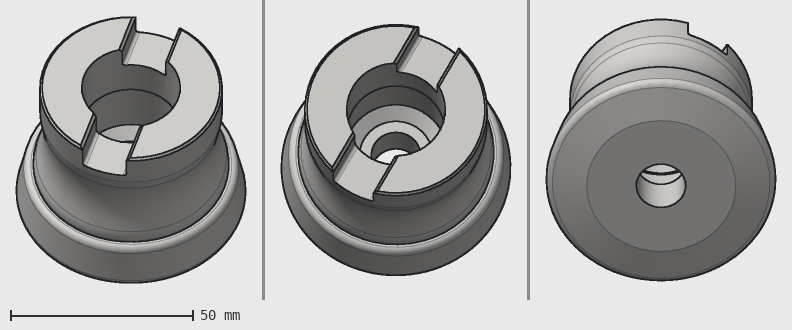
import cadquery as cq
import math

total_height = 50.0
base_height = 15.5

base_diameter = 62.9
base_taper = math.radians(11.0)
base_edge_radius = 2.0
underside_flat_radius = 20.45
hole_diameter = 13.5

collar_radius = 50.0 / 2
foot_radius = 53.7 / 2
waist_radius = 23.75
waist_height = 30.2
waist_arc_radius = 26.25
collar_blend_radius = 12.95
foot_blend_radius = 7.8
rim_chamfer = 0.6

bore_diameter = 27.0
lower_bore_diameter = 28.0
bore_step_height = 31.85
seat_diameter = 20.0
seat_slope = math.radians(30.0)

slot_width = 12.6
slot_depth = 7.25
slot_floor_radius = 1.0
slot_edge_chamfer = 0.8


def revolve_about_z(profile):
    """Turn an XZ half profile (X = radius, Y = height) about the Z axis."""
    return profile.close().revolve(360, (0, 0, 0), (0, 1, 0))


def blend_points(side_radius, blend_radius, direction):
    """Points of an arc that leads tangentially from the waist arc to a cylinder.

    direction is +1 above the waist and -1 below it. Returns the joint with the
    waist arc, a mid point of the blend, and the joint with the cylinder.
    """
    reach = waist_arc_radius + blend_radius
    angle = math.acos(1 - (side_radius - waist_radius) / reach)
    blend_height = waist_height + direction * reach * math.sin(angle)
    blend_center = side_radius - blend_radius

    def on_blend(turn):
        return (
            blend_center + blend_radius * math.cos(turn),
            blend_height - direction * blend_radius * math.sin(turn),
        )

    return on_blend(angle), on_blend(angle / 2), on_blend(0)


def make_housing():
    foot_joint, foot_mid, foot_side = blend_points(foot_radius, foot_blend_radius, -1)
    collar_joint, collar_mid, collar_side = blend_points(collar_radius, collar_blend_radius, 1)
    bore_radius = bore_diameter / 2
    body = revolve_about_z(
        cq.Workplane("XZ")
        .moveTo(bore_radius, base_height)
        .lineTo(foot_radius, base_height)
        .lineTo(*foot_side)
        .threePointArc(foot_mid, foot_joint)
        .threePointArc((waist_radius, waist_height), collar_joint)
        .threePointArc(collar_mid, collar_side)
        .lineTo(collar_radius, total_height - rim_chamfer)
        .lineTo(collar_radius - rim_chamfer, total_height)
        .lineTo(bore_radius, total_height)
    )
    return body.cut(make_lower_bore()).cut(make_slot())


def make_lower_bore():
    """Wider stretch of the bore, from the base up to the step."""
    return (
        cq.Workplane("XY", origin=(0, 0, base_height))
        .circle(lower_bore_diameter / 2)
        .extrude(bore_step_height - base_height)
    )


def make_slot():
    """Slot with rounded floor corners and chamfered top edges."""
    slot_length = 2 * foot_radius
    floor_height = total_height - slot_depth
    slot = (
        cq.Workplane("XY", origin=(0, 0, floor_height))
        .rect(slot_width, slot_length)
        .extrude(slot_depth)
        .edges("|Y and <Z")
        .fillet(slot_floor_radius)
    )
    half_width = slot_width / 2
    flare = (
        cq.Workplane("XZ")
        .moveTo(-half_width, total_height - slot_edge_chamfer)
        .lineTo(half_width, total_height - slot_edge_chamfer)
        .lineTo(half_width + slot_edge_chamfer, total_height)
        .lineTo(-half_width - slot_edge_chamfer, total_height)
        .close()
        .extrude(slot_length / 2, both=True)
    )
    return slot.union(flare)


def make_base():
    corner_radius = base_diameter / 2 + corner_overhang()
    corner_height = (corner_radius - underside_flat_radius) * math.tan(base_taper)
    top_radius = corner_radius - (base_height - corner_height) * math.tan(base_taper)
    body = revolve_about_z(
        cq.Workplane("XZ")
        .lineTo(underside_flat_radius, 0)
        .lineTo(corner_radius, corner_height)
        .lineTo(top_radius, base_height)
        .lineTo(0, base_height)
    )
    widest_edge = cq.selectors.RadiusNthSelector(-1)
    body = body.faces(">Z").edges().fillet(base_edge_radius)
    body = body.edges(widest_edge).fillet(base_edge_radius)
    return body.cut(make_seat())


def corner_overhang():
    """How far the sharp lower corner stands outside its rounded edge."""
    return base_edge_radius * (math.cos(base_taper) + math.sin(base_taper) - 1)


def make_seat():
    """Conical seat below the bore, and the hole through its floor."""
    bore_radius = lower_bore_diameter / 2
    seat_radius = seat_diameter / 2
    seat_floor = base_height - (bore_radius - seat_radius) * math.tan(seat_slope)
    hole_radius = hole_diameter / 2
    return revolve_about_z(
        cq.Workplane("XZ")
        .lineTo(hole_radius, 0)
        .lineTo(hole_radius, seat_floor)
        .lineTo(seat_radius, seat_floor)
        .lineTo(bore_radius, base_height)
        .lineTo(0, base_height)
    )


housing = make_housing()
base = make_base()

result = cq.Compound.makeCompound([housing.val(), base.val()])